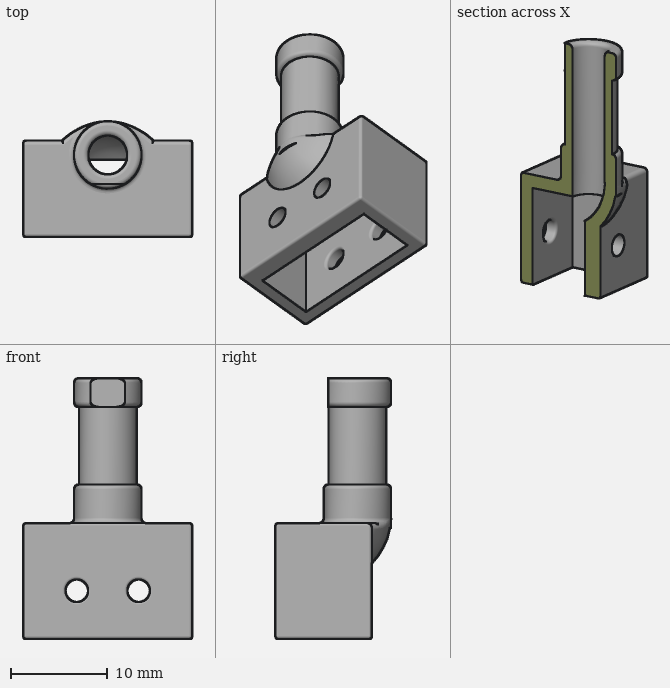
import cadquery as cq
import math


block_width = 17.5
block_depth = 10.0
block_height = 12.0
wall = 1.5
back_wall = 2.0
block_edge_radius = 0.3
back_top_radius = 0.5

total_height = 27.0
collar_radius = 3.5
tube_radius = 3.0
bore_radius = 2.0
collar_height = 4.0
head_height = 3.0
head_flat_offset = 3.02
rim_radius = 0.5
foot_radius = 0.5
bore_mouth_radius = 0.5

back_overhang = 2.0
bulge_radius = 7.0
bulge_center_rise = 0.75
bulge_inset = 0.03

hole_radius = 1.15
hole_spacing = 6.4
hole_height = 5.0
hole_mouth_radius = 0.3

block_back_y = collar_radius - back_overhang
block_front_y = block_back_y - block_depth
block_center_y = block_back_y - block_depth / 2
inner_back_y = block_back_y - back_wall
collar_top_z = block_height + collar_height
head_bottom_z = total_height - head_height
bulge_center_z = block_height + bulge_center_rise
bulge_back_y = collar_radius - bulge_inset
bulge_center_y = bulge_back_y - math.sqrt(bulge_radius**2 - bulge_center_rise**2)


def arc_sag(radius):
    """Distance from the middle of a quarter round to each of its two tangent lines."""
    return radius * (1 - math.sqrt(0.5))


def block_box(width, depth, height):
    """Box standing on Z = 0, centred on the block in plan."""
    return cq.Workplane("XY").center(0, block_center_y).box(width, depth, height, (True, True, False))


def cylinder(radius, bottom_z, top_z):
    """Upright cylinder on the spout axis."""
    return cq.Workplane("XY", origin=(0, 0, bottom_z)).circle(radius).extrude(top_z - bottom_z)


def bulge_ball(radius):
    """Ball about the centre of the bulge."""
    return cq.Workplane("XY").sphere(radius).translate((0, bulge_center_y, bulge_center_z))


def make_bulge():
    """Part of the ball behind the block and below its top."""
    behind_block = cq.Workplane("XY").box(
        block_width, back_overhang + back_wall, block_height, (True, False, False)
    )
    return bulge_ball(bulge_radius).intersect(behind_block.translate((0, inner_back_y, 0)))


def make_foot():
    """Ring with a hollow round between collar and block, kept within the block and bulge."""
    ring_radius = collar_radius + foot_radius
    ring_top_z = block_height + foot_radius
    sag = arc_sag(foot_radius)
    ring = (
        cq.Workplane("XZ")
        .moveTo(tube_radius, block_height - foot_radius)
        .lineTo(ring_radius, block_height - foot_radius)
        .lineTo(ring_radius, block_height)
        .threePointArc((collar_radius + sag, block_height + sag), (collar_radius, ring_top_z))
        .lineTo(tube_radius, ring_top_z)
        .close()
        .revolve(360, (0, 0, 0), (0, 1, 0))
    )
    return ring.intersect(block_box(block_width, block_depth, ring_top_z).union(bulge_ball(bulge_radius)))


def make_collar():
    """Collar at the foot of the spout, with a rounded top rim."""
    collar = cylinder(collar_radius, block_height - foot_radius, collar_top_z)
    return collar.faces(">Z").edges().fillet(rim_radius)


def round_back_top(body):
    """Round the top edge that runs along the block, the bulge and the foot."""
    back_top_edges = cq.selectors.BoxSelector(
        (-block_width, block_back_y - block_edge_radius, block_height - block_edge_radius),
        (block_width, collar_radius + foot_radius, block_height + foot_radius),
        boundingbox=True,
    )
    return body.edges(back_top_edges).fillet(back_top_radius)


def round_block_edges(body):
    """Round the bottom edges, the top edges at front and sides, and the four upright corners."""
    reach = block_edge_radius / 2

    def slab(x_range, y_range, z_range):
        low, high = zip(x_range, y_range, z_range)
        return cq.selectors.BoxSelector(low, high, boundingbox=True)

    all_x = (-block_width, block_width)
    all_y = (block_front_y - reach, block_back_y + reach)
    all_z = (-reach, block_height + reach)
    bottom = slab(all_x, all_y, (-reach, reach))
    front = slab(all_x, (block_front_y - reach, block_front_y + reach), all_z)
    edges = bottom + front
    for side_x in (-block_width / 2, block_width / 2):
        side_lines = slab((side_x - reach, side_x + reach), all_y, all_z) & cq.selectors.TypeSelector("LINE")
        edges = edges + side_lines
    return body.edges(edges).fillet(block_edge_radius)


def make_head():
    """Rounded head of the spout, cut flat just in front of the tube."""
    head = cylinder(collar_radius, head_bottom_z, total_height).edges().fillet(rim_radius)
    kept = cq.Workplane("XY", origin=(0, -head_flat_offset, head_bottom_z)).box(
        2 * collar_radius, head_flat_offset + collar_radius, head_height, (True, False, False)
    )
    return head.intersect(kept)


def make_cavity():
    """Hollow of the block, open at the bottom, with a scoop that leads up into the bore."""
    roof_z = block_height - wall
    hollow = cq.Workplane("XY").box(
        block_width - 2 * wall, block_depth - wall - back_wall, roof_z, (True, False, False)
    )
    hollow = hollow.translate((0, block_front_y + wall, 0))
    scoop = bulge_ball(bulge_radius - wall)
    scoop_room = cq.Workplane("XY", origin=(0, inner_back_y, 0)).box(
        block_width, block_depth, roof_z, (True, False, False)
    )
    bore_foot = cylinder(bore_radius, roof_z - wall, bulge_center_z)
    front_room = cq.Workplane("XY", origin=(0, inner_back_y - block_depth, 0)).box(
        block_width, block_depth, total_height, (True, False, False)
    )
    return (
        hollow.union(scoop.intersect(scoop_room))
        .union(scoop.intersect(bore_foot))
        .union(bore_foot.intersect(front_room))
    )


def make_bore():
    """Bore of the spout with a rounded mouth at its top."""
    mouth_sag = arc_sag(bore_mouth_radius)
    return (
        cq.Workplane("XZ")
        .moveTo(0, bulge_center_z)
        .lineTo(bore_radius, bulge_center_z)
        .lineTo(bore_radius, total_height - bore_mouth_radius)
        .threePointArc(
            (bore_radius + mouth_sag, total_height - mouth_sag),
            (bore_radius + bore_mouth_radius, total_height),
        )
        .lineTo(0, total_height)
        .close()
        .revolve(360, (0, 0, 0), (0, 1, 0))
    )


def make_screw_holes():
    """Two holes through the front and back walls, flared at both faces of the front wall."""
    mouth_sag = arc_sag(hole_mouth_radius)
    flared_radius = hole_radius + hole_mouth_radius
    hole = (
        cq.Workplane("XY")
        .lineTo(flared_radius, 0)
        .threePointArc(
            (hole_radius + mouth_sag, mouth_sag),
            (hole_radius, hole_mouth_radius),
        )
        .lineTo(hole_radius, wall - hole_mouth_radius)
        .threePointArc(
            (hole_radius + mouth_sag, wall - mouth_sag),
            (flared_radius, wall),
        )
        .lineTo(hole_radius, wall)
        .lineTo(hole_radius, block_depth)
        .lineTo(0, block_depth)
        .close()
        .revolve(360, (0, 0, 0), (0, 1, 0))
    )
    left_hole = hole.translate((-hole_spacing / 2, block_front_y, hole_height))
    return left_hole.union(left_hole.translate((hole_spacing, 0, 0)))


spout_tube = cylinder(tube_radius, collar_top_z, head_bottom_z)

body = block_box(block_width, block_depth, block_height)
body = body.union(make_bulge()).union(make_foot()).union(make_collar())
body = round_block_edges(round_back_top(body))
body = body.union(spout_tube).union(make_head())
body = body.cut(make_cavity()).cut(make_bore()).cut(make_screw_holes())
result = cq.Workplane(body.solids().val())